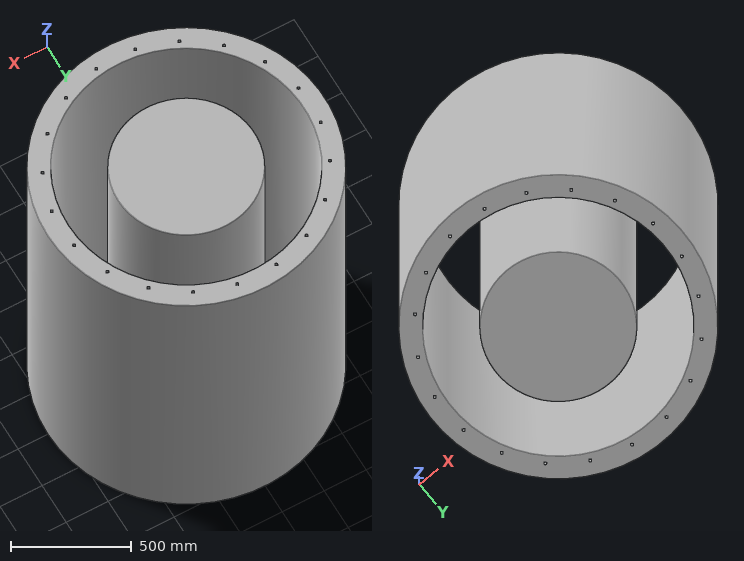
import cadquery as cq

height = 1680.0
ring_outer_diameter = 1320.0
ring_inner_diameter = 1120.0
core_diameter = 650.0
edge_radius = 2.0

hole_count = 20
hole_diameter = 12.0
hole_circle_diameter = 1190.0
hole_pitch_angle = 360 / hole_count
first_hole_angle = hole_pitch_angle / 2


def make_ring():
    """Thick tube with rounded rims and a circle of small holes along its length."""
    tube = (
        cq.Workplane("XY")
        .circle(ring_outer_diameter / 2)
        .circle(ring_inner_diameter / 2)
        .extrude(height)
        .faces("<Z or >Z")
        .edges()
        .fillet(edge_radius)
    )
    holes = (
        cq.Workplane("XY")
        .polarArray(hole_circle_diameter / 2, first_hole_angle, 360, hole_count)
        .circle(hole_diameter / 2)
        .extrude(height)
    )
    return tube.cut(holes)


def make_core():
    """Solid cylinder standing free on the ring's axis, with rounded rims."""
    return (
        cq.Workplane("XY")
        .circle(core_diameter / 2)
        .extrude(height)
        .faces("<Z or >Z")
        .edges()
        .fillet(edge_radius)
    )


ring = make_ring()
core = make_core()

result = cq.Compound.makeCompound([ring.val(), core.val()])